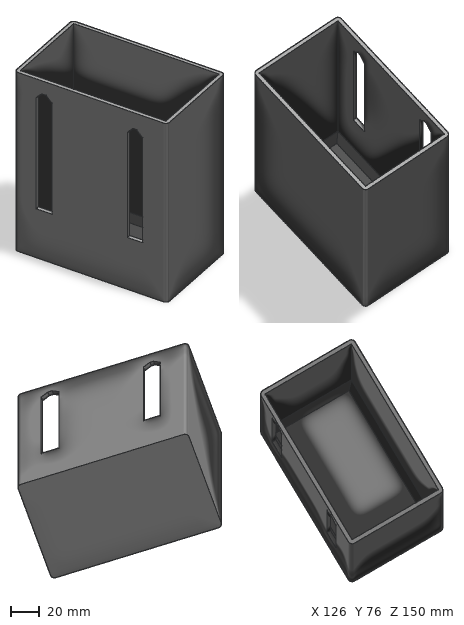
import cadquery as cq

LENGTH = 126.0
WIDTH = 76.0
HEIGHT = 150.0
CORNER_RADIUS = 3.0

WALL = 3.0
FLOOR = 3.0
FLOOR_BEVEL = 5.0

SLOT_BEVEL = 5.0
LEFT_SLOT_X = -38.5
LEFT_SLOT_WIDTH = 13.0
LEFT_SLOT_HEIGHT = 98.0
RIGHT_SLOT_X = 36.5
RIGHT_SLOT_WIDTH = 12.5
RIGHT_SLOT_HEIGHT = 93.0
SLOT_MID_HEIGHT = 90.0


def make_block():
    """Solid outer block with rounded upright corners."""
    block = cq.Workplane("XY").box(LENGTH, WIDTH, HEIGHT, centered=(True, True, False))
    return block.edges("|Z").fillet(CORNER_RADIUS)


def make_cavity():
    """Sharp-cornered cavity with its bottom edges bevelled."""
    cavity = cq.Workplane("XY", origin=(0, 0, FLOOR)).box(
        LENGTH - 2 * WALL, WIDTH - 2 * WALL, HEIGHT - FLOOR, centered=(True, True, False)
    )
    return cavity.faces("<Z").edges().chamfer(FLOOR_BEVEL)


def make_slot(center_x, width, height):
    """Cutter reaching through the front wall only."""
    front_wall_y = (WALL - WIDTH) / 2
    slot = cq.Workplane("XY").box(width, WALL, height)
    slot = slot.faces(">Z").edges("|Y").chamfer(SLOT_BEVEL)
    return slot.translate((center_x, front_wall_y, SLOT_MID_HEIGHT))


result = (
    make_block()
    .cut(make_cavity())
    .cut(make_slot(LEFT_SLOT_X, LEFT_SLOT_WIDTH, LEFT_SLOT_HEIGHT))
    .cut(make_slot(RIGHT_SLOT_X, RIGHT_SLOT_WIDTH, RIGHT_SLOT_HEIGHT))
)